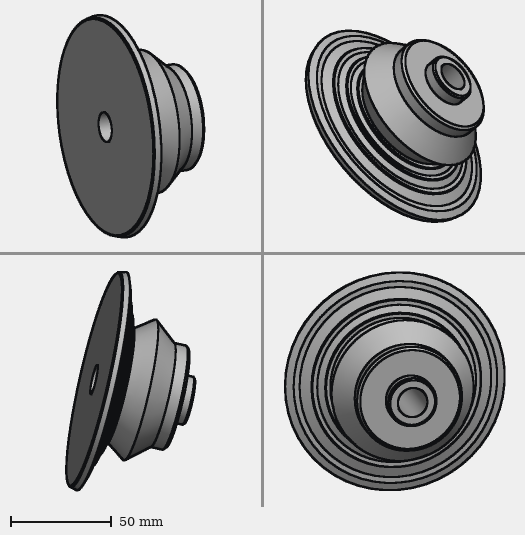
import cadquery as cq

outer_radius = 55.6
length = 48.9
bore_diameter = 14.9

face_radius = 54.0
flank_front_radius = 54.7
face_bevel_depth = 0.6
flank_back_radius = 55.4
flank_back_height = 3.3
rim_peak_height = 3.8

ledge_height = 5.3
ledge_outer_radius = 51.5
ledge_inner_radius = 48.5

steps = [
    (42.6, 40.1, 8.2),
    (36.1, 34.0, 10.7),
    (30.7, 28.4, 12.7),
]
step_riser = 0.7
step_bevel = 0.3

ridge_radius = 35.9
ridge_height = 23.5

collar_radius = 53.0 / 2
collar_start = 34.9
collar_end = 42.4
collar_chamfer = 1.3
boss_radius = 24.5 / 2
boss_chamfer = 0.9


def rim_points():
    """Radius and height points from the front face to the ledge."""
    return [
        (face_radius, 0),
        (flank_front_radius, face_bevel_depth),
        (flank_back_radius, flank_back_height),
        (outer_radius, rim_peak_height),
        (ledge_outer_radius, ledge_height),
        (ledge_inner_radius, ledge_height),
    ]


def step_points():
    """Each step has a short bevelled riser followed by a flat."""
    points = []
    for step_outer, step_inner, height in steps:
        points += [
            (step_outer + step_bevel, height - step_riser),
            (step_outer, height),
            (step_inner, height),
        ]
    return points


def hub_points():
    """Double cone, chamfered collar and chamfered boss."""
    return [
        (ridge_radius, ridge_height),
        (collar_radius, collar_start),
        (collar_radius, collar_end - collar_chamfer),
        (collar_radius - collar_chamfer, collar_end),
        (boss_radius, collar_end),
        (boss_radius, length - boss_chamfer),
        (boss_radius - boss_chamfer, length),
    ]


bore_radius = bore_diameter / 2
profile = (
    [(bore_radius, 0)]
    + rim_points()
    + step_points()
    + hub_points()
    + [(bore_radius, length)]
)

result = cq.Workplane("XY").polyline(profile).close().revolve(360, (0, 0, 0), (0, 1, 0))